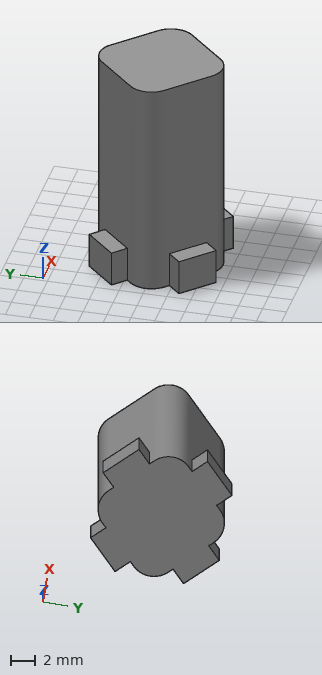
import cadquery as cq

post_height = 18.5
post_side = 8.5
post_corner_radius = 2.0
turn_angle = 45.0

foot_span = 11.5
foot_width = 3.52
foot_height = 3.0


def make_post():
    post = cq.Workplane("XY").rect(post_side, post_side).extrude(post_height)
    return post.edges("|Z").fillet(post_corner_radius)


def make_foot_bar(length_x, length_y):
    """Bar through the post whose two ends form a pair of opposite feet."""
    return cq.Workplane("XY").rect(length_x, length_y).extrude(foot_height)


part = make_post()
part = part.union(make_foot_bar(foot_span, foot_width))
part = part.union(make_foot_bar(foot_width, foot_span))

result = part.rotate((0, 0, 0), (0, 0, 1), turn_angle)